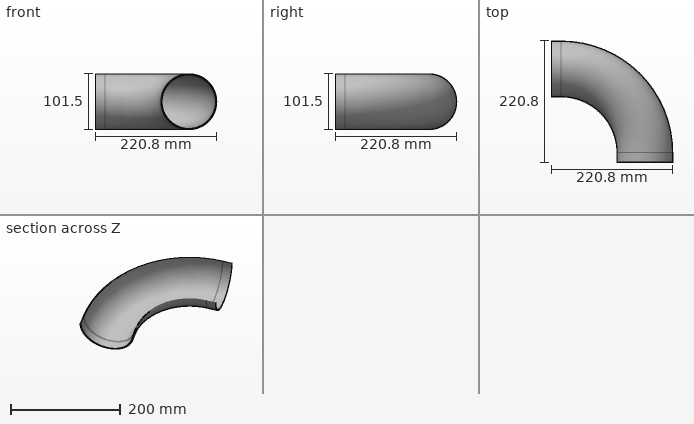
import cadquery as cq

overall_length = 220.8
outer_diameter = 101.5
inner_diameter = 97.5
bend_radius = 1.5 * outer_diameter
bend_angle = 90.0

collar_length = overall_length - bend_radius - outer_diameter / 2


def ring(plane):
    """Pipe wall section drawn on the given plane."""
    return cq.Workplane(plane).circle(outer_diameter / 2).circle(inner_diameter / 2)


inlet_plane = cq.Plane(origin=(0, bend_radius, 0), xDir=(0, 1, 0), normal=(-1, 0, 0))
outlet_plane = cq.Plane(origin=(bend_radius, 0, 0), xDir=(1, 0, 0), normal=(0, -1, 0))

elbow = ring(outlet_plane).revolve(bend_angle, (-bend_radius, 0, 0), (-bend_radius, 1, 0))

inlet_collar = ring(inlet_plane).extrude(collar_length)
outlet_collar = ring(outlet_plane).extrude(collar_length)

result = elbow.union(inlet_collar).union(outlet_collar)